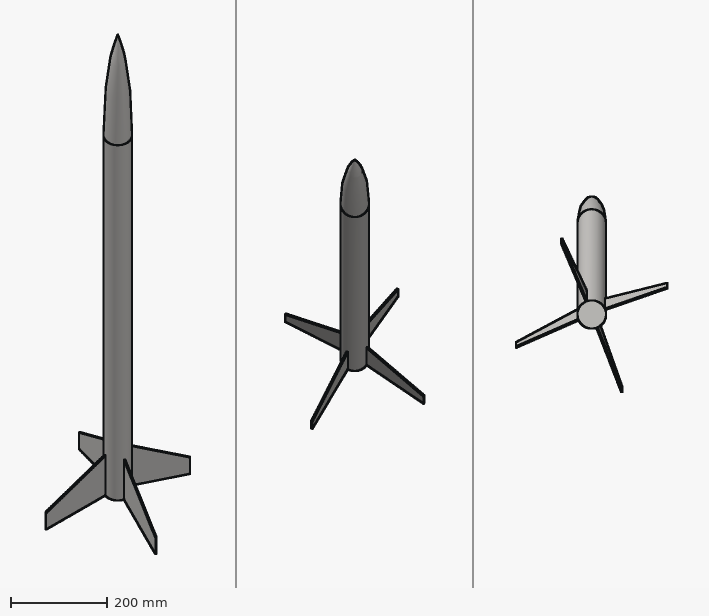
import cadquery as cq
import math

overall_height = 1418.96

tube_diameter = 60.0
tube_radius = tube_diameter / 2
tube_length = 1080.0

nose_length = 305.0
nose_lower_radius = 28.0
nose_upper_radius = 20.0

fin_count = 4
fin_span = 338.84
fin_tip_radius = fin_span / 2
fin_thickness = 3.0
fin_root_chord = 121.0
fin_tip_chord = 50.0
fin_tip_drop = overall_height - tube_length - nose_length


def make_tube():
    return cq.Workplane("XY").circle(tube_radius).extrude(tube_length)


def make_nose_cone():
    """Solid of revolution with a full, curved outline that ends in a sharp point."""
    curve_points = [
        (nose_lower_radius, nose_length / 3),
        (nose_upper_radius, 2 * nose_length / 3),
        (0, nose_length),
    ]
    profile = (
        cq.Workplane("XZ")
        .lineTo(tube_radius, 0)
        .spline(curve_points, includeCurrent=True)
        .close()
    )
    nose = profile.revolve(360, (0, 0, 0), (0, 1, 0))
    return nose.translate((0, 0, tube_length))


def make_fin(angle, tube):
    """One fin pointing outward at the given angle, its root cut to the curve of the tube."""
    root_radius = math.sqrt(tube_radius**2 - (fin_thickness / 2) ** 2)
    outline = [
        (root_radius, 0),
        (root_radius, fin_root_chord),
        (fin_tip_radius, fin_tip_chord - fin_tip_drop),
        (fin_tip_radius, -fin_tip_drop),
    ]
    blade = cq.Workplane("XZ").polyline(outline).close().extrude(fin_thickness / 2, both=True)
    return blade.rotate((0, 0, 0), (0, 0, 1), angle).cut(tube).solids()


tube = make_tube()
nose_cone = make_nose_cone()
fins = [make_fin(360 / fin_count * index, tube) for index in range(fin_count)]

result = cq.Compound.makeCompound(
    [tube.val(), nose_cone.val(), *[fin.val() for fin in fins]]
)